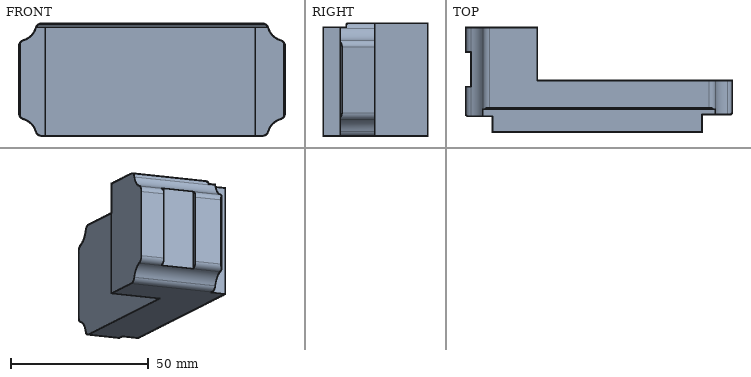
import cadquery as cq
import math

length = 96.8
depth = 38.0
height = 41.0

scallop_radius = 6.4
blend_radius = 2.5

leg_width = 26.0
arm_back = 19.3
left_end_front = 32.3
right_end_front = 31.75

pad_left = 9.7
pad_right = 85.9

ledge_drop = 1.5
ledge_back = 29.7

slot_back = 9.0
slot_front = 21.6
slot_depth = 1.8

edge_chamfer = 0.6


def box(x0, x1, y_back, y_front, z0, z1):
    """Box between two X, two depths from the back and two Z."""
    size = (x1 - x0, y_front - y_back, z1 - z0)
    return cq.Workplane("XY").box(*size, centered=False).translate((x0, -y_front, z0))


def scallop_cutter():
    """Cutter for the corner at the origin: concave scallop blended into both sides."""
    reach = math.sqrt((scallop_radius + blend_radius) ** 2 - blend_radius**2)
    contact = scallop_radius / (scallop_radius + blend_radius)
    near = blend_radius * contact
    far = reach * contact
    scallop_mid = scallop_radius * math.sqrt(0.5)

    half_turn = math.atan2(reach, blend_radius) / 2
    along = reach - blend_radius * math.sin(half_turn)
    inward = blend_radius - blend_radius * math.cos(half_turn)
    return (
        cq.Workplane("XZ")
        .lineTo(reach, 0)
        .threePointArc((along, inward), (far, near))
        .threePointArc((scallop_mid, scallop_mid), (near, far))
        .threePointArc((inward, along), (0, reach))
        .close()
        .extrude(depth)
    )


def scalloped_block():
    block = box(0, length, 0, left_end_front, 0, height)
    corner = scallop_cutter()
    for flip_x in (False, True):
        for flip_z in (False, True):
            cutter = corner
            if flip_x:
                cutter = cutter.mirror("YZ").translate((length, 0, 0))
            if flip_z:
                cutter = cutter.mirror("XY").translate((0, 0, height))
            block = block.cut(cutter)
    return block


def end_chamfer(end_x, inward, front):
    """Wedge along the front vertical edge of one end; inward is +1 or -1 along X."""
    return (
        cq.Workplane("XY")
        .moveTo(end_x, -front)
        .lineTo(end_x + inward * edge_chamfer, -front)
        .lineTo(end_x, -front + edge_chamfer)
        .close()
        .extrude(height)
    )


def top_chamfer():
    """Wedge along the top edge above the ledge."""
    return (
        cq.Workplane("YZ")
        .moveTo(-ledge_back, height)
        .lineTo(-ledge_back + edge_chamfer, height)
        .lineTo(-ledge_back, height - edge_chamfer)
        .close()
        .extrude(length)
    )


ledge_z = height - ledge_drop
body = scalloped_block()
body = body.cut(box(leg_width, length, 0, arm_back, 0, height))
body = body.cut(box(pad_right, length, right_end_front, left_end_front, 0, height))
body = body.cut(box(0, length, ledge_back, left_end_front, ledge_z, height))
body = body.cut(box(0, slot_depth, slot_back, slot_front, 0, height))
body = body.cut(end_chamfer(0, 1, left_end_front))
body = body.cut(end_chamfer(length, -1, right_end_front))
body = body.cut(top_chamfer())

pad = box(pad_left, pad_right, ledge_back, depth, 0, ledge_z)
result = body.union(pad)